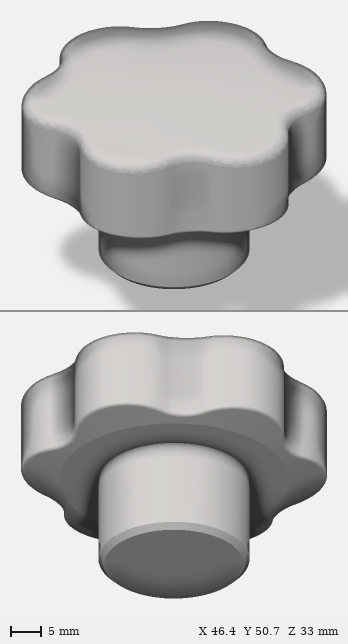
import cadquery as cq
import math

LOBE_COUNT = 6
OUTER_RADIUS = 25.35
LOBE_RADIUS = 9.3
VALLEY_RADIUS = 7.3
FIRST_CREST = 90.0
LOBE_PITCH = 360.0 / LOBE_COUNT
HALF_PITCH = LOBE_PITCH / 2

TOTAL_HEIGHT = 32.95
HEAD_BOTTOM = 15.95
DOME_RADIUS = 172.35
UNDERSIDE_FLAT_RADIUS = 19.0
UNDERSIDE_SLOPE = 10.0
TOP_FILLET = 1.95
BOTTOM_FILLET = 0.5

HUB_DIAMETER = 25.0
HUB_CHAMFER = 0.95

BLANK_MARGIN = 1.0
BLANK_RADIUS = OUTER_RADIUS + BLANK_MARGIN

LOBE_CENTRE = OUTER_RADIUS - LOBE_RADIUS
CENTRE_SPACING = LOBE_RADIUS + VALLEY_RADIUS
LOBE_ALONG = LOBE_CENTRE * math.cos(math.radians(HALF_PITCH))
LOBE_ACROSS = LOBE_CENTRE * math.sin(math.radians(HALF_PITCH))
VALLEY_CENTRE = LOBE_ALONG + math.sqrt(CENTRE_SPACING**2 - LOBE_ACROSS**2)
VALLEY_FLOOR = VALLEY_CENTRE - VALLEY_RADIUS


def polar(radius, degrees):
    angle = math.radians(degrees)
    return (radius * math.cos(angle), radius * math.sin(angle))


def joint(crest, valley):
    """Point where a lobe arc runs tangent into the valley arc beside it."""
    lobe_x, lobe_y = polar(LOBE_CENTRE, crest)
    valley_x, valley_y = polar(VALLEY_CENTRE, valley)
    share = LOBE_RADIUS / CENTRE_SPACING
    return (lobe_x + share * (valley_x - lobe_x), lobe_y + share * (valley_y - lobe_y))


def dome_height(radius):
    return TOTAL_HEIGHT - DOME_RADIUS + math.sqrt(DOME_RADIUS**2 - radius**2)


def lobed_prism():
    """Lobes joined by tangent valleys, over the full height of the head."""
    outline = cq.Workplane("XY", origin=(0, 0, HEAD_BOTTOM))
    outline = outline.moveTo(*joint(FIRST_CREST, FIRST_CREST - HALF_PITCH))
    for i in range(LOBE_COUNT):
        crest = FIRST_CREST + i * LOBE_PITCH
        valley = crest + HALF_PITCH
        next_crest = crest + LOBE_PITCH
        outline = outline.threePointArc(polar(OUTER_RADIUS, crest), joint(crest, valley))
        outline = outline.threePointArc(polar(VALLEY_FLOOR, valley), joint(next_crest, valley))
    return outline.close().extrude(TOTAL_HEIGHT - HEAD_BOTTOM)


def turned_blank():
    """Round blank with a domed top and a flat underside that turns into a shallow cone."""
    cone_width = BLANK_RADIUS - UNDERSIDE_FLAT_RADIUS
    rim_bottom = HEAD_BOTTOM + cone_width * math.tan(math.radians(UNDERSIDE_SLOPE))
    mid_radius = BLANK_RADIUS / 2
    profile = (
        cq.Workplane("YZ")
        .moveTo(0, HEAD_BOTTOM)
        .lineTo(UNDERSIDE_FLAT_RADIUS, HEAD_BOTTOM)
        .lineTo(BLANK_RADIUS, rim_bottom)
        .lineTo(BLANK_RADIUS, dome_height(BLANK_RADIUS))
        .threePointArc((mid_radius, dome_height(mid_radius)), (0, TOTAL_HEIGHT))
        .close()
    )
    return profile.revolve(360, (0, 0, 0), (0, 1, 0))


def make_head():
    """Lobed head with its domed top edge and conical bottom edge rounded."""
    head = lobed_prism().intersect(turned_blank())
    head = head.faces(">Z").edges().fillet(TOP_FILLET)
    return head.faces("%CONE").edges("%BSPLINE").fillet(BOTTOM_FILLET)


def make_hub():
    hub = cq.Workplane("XY").circle(HUB_DIAMETER / 2).extrude(HEAD_BOTTOM)
    return hub.faces("<Z").edges().chamfer(HUB_CHAMFER)


def make_knob():
    """Head and hub as one piece."""
    return make_head().union(make_hub())


knob = make_knob()
result = cq.Compound.makeCompound([knob.val()])